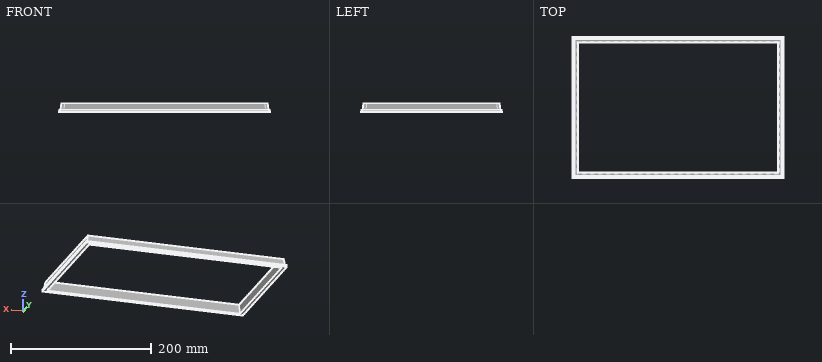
import cadquery as cq

length = 301.0
width = 201.0
height = 13.0

flange_height = 3.0
ledge_width = 1.65
rim_width = 4.5

lean = 0.15

flange_top_inset = lean * flange_height
wall_bottom_inset = flange_top_inset + ledge_width
wall_top_inset = wall_bottom_inset + lean * (height - flange_height)
opening_top_inset = wall_top_inset + rim_width
opening_bottom_inset = opening_top_inset - lean * height


def tapered_block(bottom_inset, top_inset, bottom, top):
    """Centred rectangular block whose sides run between two insets."""
    return (
        cq.Workplane("XY")
        .workplane(offset=bottom)
        .rect(length - 2 * bottom_inset, width - 2 * bottom_inset)
        .workplane(offset=top - bottom)
        .rect(length - 2 * top_inset, width - 2 * top_inset)
        .loft(ruled=True)
    )


flange = tapered_block(0, flange_top_inset, 0, flange_height)

wall = tapered_block(wall_bottom_inset, wall_top_inset, flange_height, height)

opening = tapered_block(opening_bottom_inset, opening_top_inset, 0, height)

result = flange.union(wall).cut(opening)